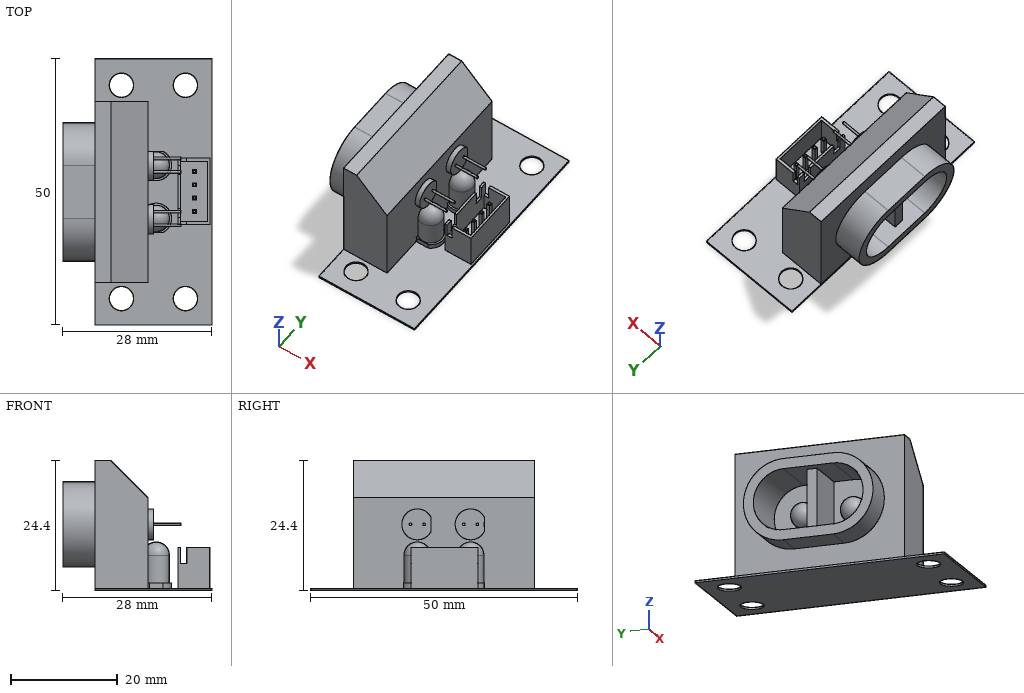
import cadquery as cq

BOARD_WIDTH = 22
BOARD_LENGTH = 50
BOARD_THICKNESS = 0.4
MOUNT_HOLE_DIAMETER = 4.5
MOUNT_HOLE_EDGE = 5
MOUNT_HOLE_SPACING_X = 12

TUBE_LENGTH = 6
TUBE_HEIGHT = 16
TUBE_CENTERS = 10
TUBE_WALL = 2
POCKET_DEPTH_IN_HOUSING = 5
DIVIDER_THICKNESS = 2
DIVIDER_SETBACK = 2

HOUSING_DEPTH = 10
HOUSING_LENGTH = 34
HOUSING_HEIGHT = 24
HOUSING_TOP_DEPTH = 3
HOUSING_REAR_HEIGHT = 17

LED_RADIUS = 2.5
LED_FLANGE_RADIUS = 2.9
LED_FLANGE_THICKNESS = 1.05
LED_FLAT_OFFSET = 2.6
LED_BARREL_TOP = 6.2
LED_SPACING = 10
STANDING_LED_OFFSET = 1.5
LEAD_DIAMETER = 0.5
LEAD_SPACING = 2.55
LEAD_LENGTH = 5.1

CONNECTOR_DEPTH = 6
CONNECTOR_LENGTH = 12.5
CONNECTOR_HEIGHT = 7.7
CONNECTOR_REAR_GAP = 0.4
CONNECTOR_Y = 0.1
CONNECTOR_WALL = 0.5
CONNECTOR_END_WALL = 0.6
CONNECTOR_FLOOR = 1
NOTCH_DEPTH = 3
END_NOTCH_WIDTH = 1.1
FRONT_NOTCH_WIDTH = 1.7
FRONT_NOTCH_SPACING = 8.1
PIN_SIZE = 0.7
PIN_TIP_CHAMFER = 0.15
PIN_PITCH = 2.5
PIN_COUNT = 4
PIN_LENGTH = 5
PIN_REAR_GAP = 3.3

HOUSING_FRONT = TUBE_LENGTH
HOUSING_REAR = HOUSING_FRONT + HOUSING_DEPTH
BOARD_REAR = HOUSING_FRONT + BOARD_WIDTH
SOCKET_Z = BOARD_THICKNESS + HOUSING_HEIGHT / 2
POCKET_FLOOR = HOUSING_FRONT + POCKET_DEPTH_IN_HOUSING
STANDING_LED_X = HOUSING_REAR + STANDING_LED_OFFSET
SIDES = (-1, 1)


def box(x_range, y_range, z_range):
    """An upright box between the given limits on each axis."""
    return (
        cq.Workplane("XY")
        .box(
            x_range[1] - x_range[0],
            y_range[1] - y_range[0],
            z_range[1] - z_range[0],
            centered=False,
        )
        .translate((x_range[0], y_range[0], z_range[0]))
    )


def centered_range(center, width):
    return (center - width / 2, center + width / 2)


def oval(height, x_start, x_end):
    """A bar of oval section along X, centred on the socket axis."""
    return (
        cq.Workplane("YZ", origin=(x_start, 0, SOCKET_Z))
        .slot2D(TUBE_CENTERS + height, height)
        .extrude(x_end - x_start)
    )


def make_board():
    center_x = HOUSING_FRONT + BOARD_WIDTH / 2
    holes_x = HOUSING_FRONT + MOUNT_HOLE_EDGE + MOUNT_HOLE_SPACING_X / 2
    plate = cq.Workplane("XY", origin=(center_x, 0, 0)).box(
        BOARD_WIDTH, BOARD_LENGTH, BOARD_THICKNESS, centered=(True, True, False)
    )
    holes = (
        cq.Workplane("XY", origin=(holes_x, 0, 0))
        .rarray(MOUNT_HOLE_SPACING_X, BOARD_LENGTH - 2 * MOUNT_HOLE_EDGE, 2, 2)
        .circle(MOUNT_HOLE_DIAMETER / 2)
        .extrude(BOARD_THICKNESS)
    )
    return plate.cut(holes)


def led_body(flat_side):
    """An LED standing on z = 0 at the origin; flat_side is the Y sign of the flange's flat."""
    half_profile = (
        cq.Workplane("XZ")
        .moveTo(0, 0)
        .lineTo(LED_FLANGE_RADIUS, 0)
        .lineTo(LED_FLANGE_RADIUS, LED_FLANGE_THICKNESS)
        .lineTo(LED_RADIUS, LED_FLANGE_THICKNESS)
        .lineTo(LED_RADIUS, LED_BARREL_TOP)
        .radiusArc((0, LED_BARREL_TOP + LED_RADIUS), -LED_RADIUS)
        .close()
    )
    body = half_profile.revolve(360, (0, 0, 0), (0, 1, 0))
    flat_limits = sorted((flat_side * LED_FLAT_OFFSET, flat_side * LED_FLANGE_RADIUS))
    flat_cut = box(
        (-LED_FLANGE_RADIUS, LED_FLANGE_RADIUS), flat_limits, (0, LED_FLANGE_THICKNESS)
    )
    return body.cut(flat_cut)


def make_standing_led(side):
    """An upright LED on the board, with its flat facing away from the other one."""
    position = (STANDING_LED_X, side * LED_SPACING / 2, BOARD_THICKNESS)
    return led_body(side).translate(position)


def make_socket_led(side):
    """An LED lying along X, with its dome in the socket and its two leads behind the housing."""
    leads = (
        cq.Workplane("XY")
        .pushPoints([(0, -LEAD_SPACING / 2), (0, LEAD_SPACING / 2)])
        .circle(LEAD_DIAMETER / 2)
        .extrude(-LEAD_LENGTH)
    )
    led = led_body(1).union(leads)
    return led.rotate((0, 0, 0), (0, 1, 0), -90).translate(
        (HOUSING_REAR + LED_FLANGE_THICKNESS, side * LED_SPACING / 2, SOCKET_Z)
    )


def make_housing(leds):
    """Housing block with its socket tube, less the space that the LEDs take up."""
    block = (
        cq.Workplane("XZ", origin=(HOUSING_FRONT, 0, BOARD_THICKNESS))
        .moveTo(0, 0)
        .lineTo(HOUSING_DEPTH, 0)
        .lineTo(HOUSING_DEPTH, HOUSING_REAR_HEIGHT)
        .lineTo(HOUSING_TOP_DEPTH, HOUSING_HEIGHT)
        .lineTo(0, HOUSING_HEIGHT)
        .close()
        .extrude(HOUSING_LENGTH / 2, both=True)
    )
    tube = oval(TUBE_HEIGHT, 0, HOUSING_FRONT)
    pocket_height = TUBE_HEIGHT - 2 * TUBE_WALL
    pocket = oval(pocket_height, 0, POCKET_FLOOR)
    divider = box(
        (DIVIDER_SETBACK, POCKET_FLOOR),
        centered_range(0, DIVIDER_THICKNESS),
        centered_range(SOCKET_Z, pocket_height),
    )
    housing = block.union(tube).cut(pocket).union(divider)
    for led in leds:
        housing = housing.cut(led)
    return housing


def make_connector():
    """Open-topped box with a notch in each end wall, two in its front wall, and a row of pins."""
    rear = BOARD_REAR - CONNECTOR_REAR_GAP
    front = rear - CONNECTOR_DEPTH
    top = BOARD_THICKNESS + CONNECTOR_HEIGHT
    floor = BOARD_THICKNESS + CONNECTOR_FLOOR
    notch_z = (top - NOTCH_DEPTH, top)
    inner_front = front + CONNECTOR_WALL
    shell = box(
        (front, rear), centered_range(CONNECTOR_Y, CONNECTOR_LENGTH), (BOARD_THICKNESS, top)
    )
    cavity = box(
        (inner_front, rear - CONNECTOR_WALL),
        centered_range(CONNECTOR_Y, CONNECTOR_LENGTH - 2 * CONNECTOR_END_WALL),
        (floor, top),
    )
    end_notches = box(
        (inner_front, inner_front + END_NOTCH_WIDTH),
        centered_range(CONNECTOR_Y, CONNECTOR_LENGTH),
        notch_z,
    )
    connector = shell.cut(cavity).cut(end_notches)
    for side in SIDES:
        notch_y = centered_range(CONNECTOR_Y + side * FRONT_NOTCH_SPACING / 2, FRONT_NOTCH_WIDTH)
        connector = connector.cut(box((front, inner_front), notch_y, notch_z))
    pins = (
        cq.Workplane("XY", origin=(BOARD_REAR - PIN_REAR_GAP, CONNECTOR_Y, floor))
        .rarray(0.5, PIN_PITCH, 1, PIN_COUNT)
        .rect(PIN_SIZE, PIN_SIZE)
        .extrude(PIN_LENGTH)
        .faces(">Z")
        .chamfer(PIN_TIP_CHAMFER)
    )
    return connector.union(pins)


board = make_board()
standing_leds = [make_standing_led(side) for side in SIDES]
socket_leds = [make_socket_led(side) for side in SIDES]
housing = make_housing(standing_leds + socket_leds)
connector = make_connector()

bodies = [board, housing, connector, *standing_leds, *socket_leds]
result = cq.Compound.makeCompound([body.val() for body in bodies])